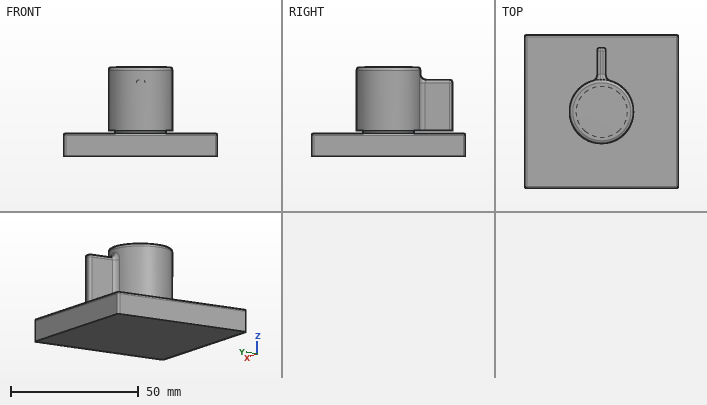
import cadquery as cq

plate_side = 60.0
plate_height = 9.0
plate_round = 0.8

stem_diameter = 20.0
stem_height = 1.0

knob_diameter = 25.0
knob_height = 24.95
dome_rise = 0.1
lever_width = 3.5
lever_reach = 25.0
lever_height = 20.0
edge_round = 1.2
root_round = 2.3

knob_bottom = plate_height + stem_height
knob_radius = knob_diameter / 2


def make_plate():
    """Square plate with rounded upright and top edges and a sharp bottom."""
    plate = cq.Workplane("XY").rect(plate_side, plate_side).extrude(plate_height)
    return plate.edges("|Z or >Z").fillet(plate_round)


def make_stem():
    """Short disc that stands on the plate and carries the knob."""
    return cq.Workplane("XY", origin=(0, 0, plate_height)).circle(stem_diameter / 2).extrude(stem_height)


def make_lever():
    """Upright blade from the knob axis toward +Y, rounded at its tip and top."""
    lever = (
        cq.Workplane("XY", origin=(0, lever_reach / 2, knob_bottom))
        .rect(lever_width, lever_reach)
        .extrude(lever_height)
    )
    return lever.edges("(>Y and |Z) or (>Z and (not <Y))").fillet(edge_round)


def make_barrel():
    """Round barrel with a slightly domed top and a rounded rim."""
    top = knob_height
    rim = knob_height - dome_rise
    dome_radius = (knob_radius**2 + dome_rise**2) / (2 * dome_rise)
    barrel = (
        cq.Workplane("XZ", origin=(0, 0, knob_bottom))
        .lineTo(knob_radius, 0)
        .lineTo(knob_radius, rim)
        .radiusArc((0, top), -dome_radius)
        .close()
        .revolve(360, (0, 0), (0, 1))
    )
    return barrel.faces("%CYLINDER").edges(">Z").fillet(edge_round)


def make_knob():
    """Barrel joined to its lever by a blend along the root."""
    knob = make_barrel().union(make_lever())

    root_zone = cq.selectors.BoxSelector(
        (-lever_width, knob_radius / 2, knob_bottom + edge_round),
        (lever_width, knob_radius + edge_round, knob_bottom + lever_height + edge_round),
    )
    return knob.edges(root_zone).fillet(root_round)


plate = make_plate()
stem = make_stem()
knob = make_knob()

result = cq.Compound.makeCompound([plate.val(), stem.val(), knob.val()])